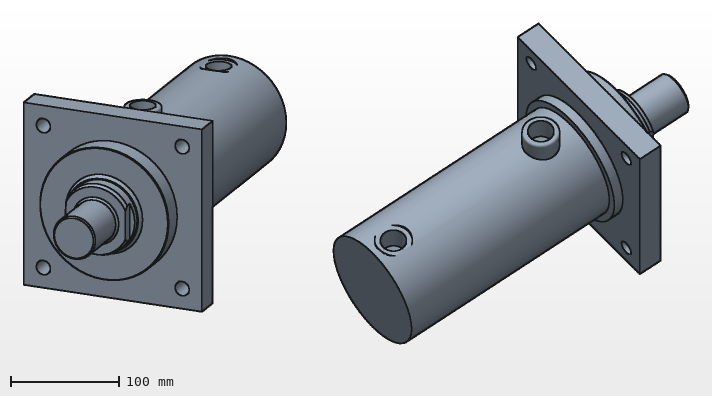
import cadquery as cq
import math


overall_length = 360.0

housing_length = 290.0
barrel_diameter = 115.2
collar_diameter = 130.0
collar_length = 55.0
collar_chamfer = 0.7
flange_side = 180.0
flange_thickness = 25.0
flange_front = 20.0
bolt_hole_diameter = 14.0
bolt_hole_spacing = 140.0

lip_base_diameter = 77.8
lip_tip_diameter = 72.0
lip_length = 3.5

port_hole_diameter = 24.0
port_hole_depth = 24.5
drill_point_angle = 118
port_seat_diameter = 35.0
front_port_y = 90.0
boss_top_z = 76.5
boss_fillet = 2.0
rear_port_y = housing_length - 25.0
rear_seat_z = 55.8

chamber_diameter = 100.0
chamber_offset = 5.5
chamber_front = front_port_y + chamber_offset
chamber_rear = rear_port_y - port_seat_diameter / 2

rod_diameter = 70.0
rod_extension = 19.5
rod_chamfer_length = 4.5
rod_chamfer_depth = 1.8
wrench_flat_width = 60.0
wrench_flat_length = 10.0
stub_diameter = 42.0
stub_length = overall_length - housing_length - rod_extension
stub_root_chamfer = 2.0
stub_tip_chamfer = 1.5


def disc(diameter, y_front, y_rear):
    """Cylinder on the Y axis between two stations."""
    return cq.Workplane("XZ", origin=(0, y_rear, 0)).circle(diameter / 2).extrude(y_rear - y_front)


def post(diameter, y, z_bottom, z_top):
    """Vertical cylinder above the cylinder axis."""
    return cq.Workplane("XY", origin=(0, y, z_bottom)).circle(diameter / 2).extrude(z_top - z_bottom)


def make_flange():
    """Square plate with a bolt hole near each corner."""
    return (
        cq.Workplane("XZ", origin=(0, flange_front, 0))
        .rect(flange_side, flange_side)
        .rect(bolt_hole_spacing, bolt_hole_spacing, forConstruction=True)
        .vertices()
        .circle(bolt_hole_diameter / 2)
        .extrude(-flange_thickness)
    )


def make_wiper_lip():
    """Tapered ring standing out from the front face."""
    taper = math.degrees(math.atan((lip_base_diameter - lip_tip_diameter) / 2 / lip_length))
    return cq.Workplane("XZ").circle(lip_base_diameter / 2).extrude(lip_length, taper=taper)


def make_port_hole(y, z_top):
    """Drilled blind hole with a conical bottom, as a cutting body."""
    radius = port_hole_diameter / 2
    point_length = radius / math.tan(math.radians(drill_point_angle / 2))
    return (
        cq.Workplane("XZ", origin=(0, y, z_top))
        .moveTo(0, 0)
        .lineTo(radius, 0)
        .lineTo(radius, -port_hole_depth)
        .lineTo(0, -port_hole_depth - point_length)
        .close()
        .revolve(360, (0, 0, 0), (0, 1, 0))
    )


def make_housing():
    collar = disc(collar_diameter, 0, collar_length).faces("<Y").chamfer(collar_chamfer)
    body = disc(barrel_diameter, 0, housing_length).union(collar).union(make_flange())
    body = body.union(make_wiper_lip())

    boss_bottom_z = chamber_diameter / 2
    boss = post(port_seat_diameter, front_port_y, boss_bottom_z, boss_top_z)
    body = body.union(boss.faces(">Z").edges().fillet(boss_fillet))
    body = body.cut(post(port_seat_diameter, rear_port_y, rear_seat_z, barrel_diameter / 2))
    body = body.cut(make_port_hole(front_port_y, boss_top_z))
    body = body.cut(make_port_hole(rear_port_y, rear_seat_z))

    body = body.cut(disc(chamber_diameter, chamber_front, chamber_rear))
    return body.cut(disc(rod_diameter, -lip_length, chamber_rear))


def make_rod():
    rod = disc(rod_diameter, -rod_extension, chamber_rear)
    rod = rod.faces("<Y").edges().chamfer(rod_chamfer_length, rod_chamfer_depth)

    flats_middle = wrench_flat_length / 2 - rod_extension
    cutter_width = rod_diameter - wrench_flat_width
    cutter_x = (wrench_flat_width + cutter_width) / 2
    for side in (-1, 1):
        cutter = cq.Workplane("XY").box(cutter_width, wrench_flat_length, rod_diameter)
        rod = rod.cut(cutter.translate((side * cutter_x, flats_middle, 0)))

    shoulder_y = -rod_extension
    stub = disc(stub_diameter, shoulder_y - stub_length, shoulder_y).faces("<Y").chamfer(stub_tip_chamfer)
    root_cone = (
        cq.Workplane("XZ", origin=(0, shoulder_y, 0))
        .circle(stub_diameter / 2 + stub_root_chamfer)
        .extrude(stub_root_chamfer, taper=45)
    )
    return rod.union(stub).union(root_cone)


housing = make_housing()
rod = make_rod()

result = cq.Compound.makeCompound([housing.solids().val(), rod.solids().val()])